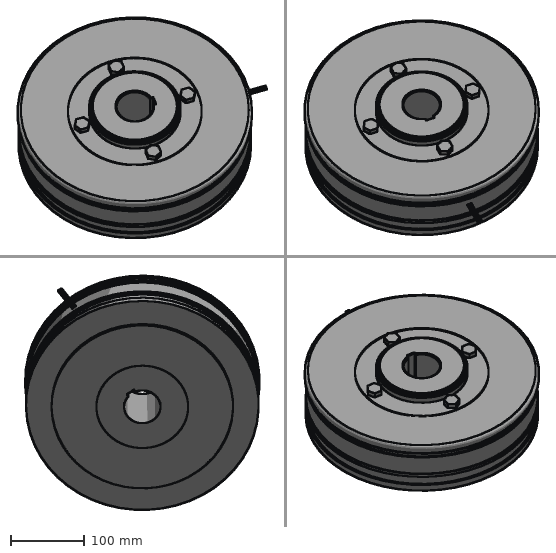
import cadquery as cq
import math

base_boss_top = 4.2
lower_band_top = 14.7
lower_groove_top = 29.5
middle_band_top = 34.5
housing_top = 63.8
neck_top = 69.5
rotor_collar_top = 73.5
rim_top = 84.0
dish_floor = 81.3
recess_floor = 80.0
bolt_head_top = 87.2
hub_shoulder_top = 88.5
hub_collar_top = 91.0
hub_top = 93.0

base_boss_radius = 124.0
band_radius = 159.0
lower_groove_radius = 156.5
housing_radius = 158.0

neck_radius = 156.0
rotor_collar_radius = 157.0
rim_diameter = 320.5
rim_radius = rim_diameter / 2
rim_round = 4.5
dish_radius = 145.7
recess_radius = 91.5

hub_radius = 62.7
hub_collar_radius = 60.5
hub_crown_base_radius = 58.5
hub_crown_top_radius = 57.5
bore_radius = 25.0
bore_chamfer = 1.58
keyway_width = 12.0
keyway_reach = 28.7
keyway_chamfer = 1.0

bolt_count = 4
bolt_circle_radius = 76.5
bolt_across_flats = 18.5

wire_diameter = 3.05
wire_gap = 0.05
wire_pitch = wire_diameter + wire_gap
wire_height = 50.8
wire_start = 150.5
overall_length = 350.5
wire_end = overall_length - rim_radius


def revolve_about_z(profile):
    """Turn an outline, drawn with radius along X and height along Y, about the Z axis."""
    return profile.close().revolve(360, (0, 0, 0), (0, 1, 0))


def make_wire(x):
    """One straight lead, starting inside the housing wall."""
    plane = cq.Plane(origin=(x, wire_start, wire_height), xDir=(0, 0, 1), normal=(0, 1, 0))
    return cq.Workplane(plane).circle(wire_diameter / 2).extrude(wire_end - wire_start)


def make_housing(wires):
    """Stepped magnet housing with a hole for the hub and blind holes for the wires."""
    body = revolve_about_z(
        cq.Workplane("XZ")
        .moveTo(hub_radius, 0)
        .lineTo(base_boss_radius, 0)
        .lineTo(base_boss_radius, base_boss_top)
        .lineTo(band_radius, base_boss_top)
        .lineTo(band_radius, lower_band_top)
        .lineTo(lower_groove_radius, lower_band_top)
        .lineTo(lower_groove_radius, lower_groove_top)
        .lineTo(band_radius, lower_groove_top)
        .lineTo(band_radius, middle_band_top)
        .lineTo(housing_radius, middle_band_top)
        .lineTo(housing_radius, housing_top)
        .lineTo(hub_radius, housing_top)
    )
    for wire in wires:
        body = body.cut(wire)
    return body


def make_rotor():
    """Disc with a rounded rim, a dished top and a round recess around the hub."""
    rim_round_radius = rim_radius - rim_round
    rim_round_height = rim_top - rim_round
    round_offset = rim_round * math.sqrt(0.5)
    round_middle = (rim_round_radius + round_offset, rim_round_height + round_offset)
    return revolve_about_z(
        cq.Workplane("XZ")
        .moveTo(hub_radius, housing_top)
        .lineTo(neck_radius, housing_top)
        .lineTo(neck_radius, neck_top)
        .lineTo(rotor_collar_radius, neck_top)
        .lineTo(rotor_collar_radius, rotor_collar_top)
        .lineTo(rim_radius, rotor_collar_top)
        .lineTo(rim_radius, rim_round_height)
        .threePointArc(round_middle, (rim_round_radius, rim_top))
        .lineTo(dish_radius, dish_floor)
        .lineTo(recess_radius, dish_floor)
        .lineTo(recess_radius, recess_floor)
        .lineTo(hub_radius, recess_floor)
    )


def make_hub():
    """Stepped hub with a tapered crown, a chamfered through bore and a keyway bevelled at its top end."""
    body = revolve_about_z(
        cq.Workplane("XZ")
        .moveTo(bore_radius, 0)
        .lineTo(hub_radius, 0)
        .lineTo(hub_radius, hub_shoulder_top)
        .lineTo(hub_collar_radius, hub_shoulder_top)
        .lineTo(hub_collar_radius, hub_collar_top)
        .lineTo(hub_crown_base_radius, hub_collar_top)
        .lineTo(hub_crown_top_radius, hub_top)
        .lineTo(bore_radius + bore_chamfer, hub_top)
        .lineTo(bore_radius, hub_top - bore_chamfer)
    )
    keyway = (
        cq.Workplane("YZ")
        .lineTo(keyway_reach - keyway_chamfer, 0)
        .lineTo(keyway_reach - keyway_chamfer, hub_top - keyway_chamfer)
        .lineTo(keyway_reach, hub_top)
        .lineTo(0, hub_top)
        .close()
        .extrude(keyway_width / 2, both=True)
    )
    return body.cut(keyway)


def make_bolt(angle):
    """Hex head resting on the recess floor, two of its corners on the radial line."""
    across_corners = bolt_across_flats / math.cos(math.radians(30))
    return (
        cq.Workplane("XY")
        .workplane(offset=recess_floor)
        .center(bolt_circle_radius, 0)
        .polygon(6, across_corners)
        .extrude(bolt_head_top - recess_floor)
        .rotate((0, 0, 0), (0, 0, 1), angle)
    )


wires = [make_wire(side * wire_pitch / 2) for side in (-1, 1)]
bolts = [make_bolt(i * 360 / bolt_count) for i in range(bolt_count)]
housing = make_housing(wires)
rotor = make_rotor()
hub = make_hub()

result = cq.Compound.makeCompound(
    [housing.val(), rotor.val(), hub.val()]
    + [bolt.val() for bolt in bolts]
    + [wire.val() for wire in wires]
)